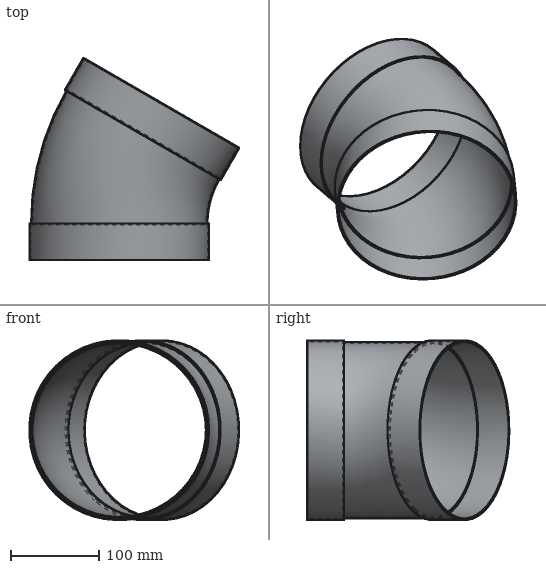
import cadquery as cq
import math

PIPE_DIAMETER = 200.0
WALL = 1.8
BEND_ANGLE = 30.0
BEND_RADIUS = PIPE_DIAMETER
SOCKET_DEPTH = 40.0

pipe_radius = PIPE_DIAMETER / 2
bore_radius = pipe_radius - WALL
collar_radius = pipe_radius + WALL
collar_length = SOCKET_DEPTH + WALL

bend_angle_rad = math.radians(BEND_ANGLE)

inlet_plane = cq.Plane(origin=(0, 0, 0), xDir=(1, 0, 0), normal=(0, 1, 0))

outlet_direction = cq.Vector(math.sin(bend_angle_rad), math.cos(bend_angle_rad), 0)
bend_end = cq.Vector(
    BEND_RADIUS * (1 - math.cos(bend_angle_rad)),
    collar_length + BEND_RADIUS * math.sin(bend_angle_rad),
    0,
)
outlet_plane = cq.Plane(
    origin=(bend_end + outlet_direction * collar_length).toTuple(),
    xDir=(0, 0, 1),
    normal=(-outlet_direction).toTuple(),
)


def make_bend():
    """Curved tube between the two collars."""
    return (
        cq.Workplane(inlet_plane)
        .workplane(offset=collar_length)
        .circle(pipe_radius)
        .circle(bore_radius)
        .revolve(BEND_ANGLE, (BEND_RADIUS, 0), (BEND_RADIUS, 1))
    )


def make_collar(open_end_plane):
    """Socket with a one-wall step at its bottom, running inward from the open end."""
    sleeve = cq.Workplane(open_end_plane).circle(collar_radius).extrude(collar_length)
    socket = cq.Workplane(open_end_plane).circle(pipe_radius).extrude(SOCKET_DEPTH)
    bore = cq.Workplane(open_end_plane).circle(bore_radius).extrude(collar_length)
    return sleeve.cut(socket).cut(bore)


result = make_bend()
for end_plane in (inlet_plane, outlet_plane):
    result = result.union(make_collar(end_plane))